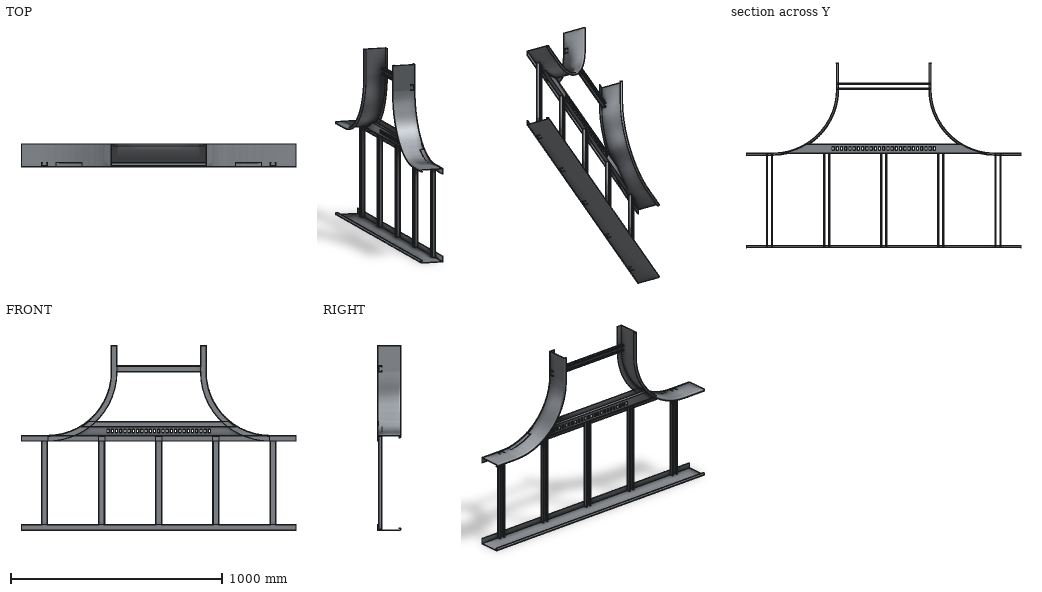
import cadquery as cq
LENGTH = 1300.0
DEPTH = 110.0
LADDER_WIDTH = 450.0
END_STRAIGHT = 125.0
SHEET = 2.0

FLANGE_WIDTH = 27.0
LIP_RADIUS = 5.8
LIP_TAIL = 4.0
BEND_RADIUS = (LENGTH - LADDER_WIDTH) / 2 - END_STRAIGHT
BEND_CENTER_X = LENGTH / 2 - END_STRAIGHT
BEND_CENTER_Z = LADDER_WIDTH + BEND_RADIUS
INNER_WIDTH = LADDER_WIDTH - 2 * SHEET

RUNG_WIDTH = 30.0
RUNG_DEPTH = 17.0
RUNG_FRONT = 5.0
RUNG_LIP = 6.0
RUNG_SHEET = 3.0
RUNG_END_GAP = 3.0
RUNG_COUNT = 5
RUNG_PITCH = 270.0
BRANCH_RUNG_Z = 765.0

PLATE_FRONT = SHEET
PLATE_STEP = 18.0
PLATE_BOTTOM = LADDER_WIDTH - FLANGE_WIDTH
WALL_BOTTOM = LADDER_WIDTH
WALL_TOP = 490.0
PLATE_TOP = 515.0
PLATE_END_GAP = 3.0
SLOT_COUNT = 25
SLOT_ROW = 480.0
SLOT_PITCH = SLOT_ROW / (SLOT_COUNT - 1)
SLOT_WIDTH = 9.0
SLOT_HEIGHT = 15.0


def rail_profile(plane, web, inward):
    """Closed rail section; local x is across the web from `web` toward `inward`, local y is depth."""

    def point(across, depth):
        return (web + inward * across, depth)

    roll_depth = DEPTH - LIP_RADIUS
    lip_top = 2 * LIP_RADIUS
    return (
        cq.Workplane(plane)
        .moveTo(*point(0, 0))
        .lineTo(*point(0, roll_depth))
        .threePointArc(point(LIP_RADIUS, DEPTH), point(lip_top, roll_depth))
        .lineTo(*point(lip_top, roll_depth - LIP_TAIL))
        .lineTo(*point(lip_top - SHEET, roll_depth - LIP_TAIL))
        .lineTo(*point(lip_top - SHEET, roll_depth))
        .threePointArc(point(LIP_RADIUS, DEPTH - SHEET), point(SHEET, roll_depth))
        .lineTo(*point(SHEET, SHEET))
        .lineTo(*point(FLANGE_WIDTH, SHEET))
        .lineTo(*point(FLANGE_WIDTH, 0))
        .close()
    )


def across_ladder(x):
    """Plane at `x`, normal to +X, with local x along -Z and local y along +Y."""
    return cq.Plane(origin=(x, 0, 0), xDir=(0, 0, -1), normal=(1, 0, 0))


def across_branch(z):
    """Plane at height `z`, normal to +Z, with local x along +X and local y along +Y."""
    return cq.Plane(origin=(0, 0, z), xDir=(1, 0, 0), normal=(0, 0, 1))


def make_straight_rail():
    return rail_profile(across_ladder(-LENGTH / 2), 0, -1).extrude(LENGTH)


def make_left_curved_rail():
    horizontal = rail_profile(across_ladder(-LENGTH / 2), -LADDER_WIDTH, 1).extrude(END_STRAIGHT)
    start = across_branch(BEND_CENTER_Z)
    web_x = -LADDER_WIDTH / 2
    vertical = rail_profile(start, web_x, 1).extrude(END_STRAIGHT)
    bend = rail_profile(start, web_x, 1).revolve(90, (-BEND_CENTER_X, 0), (-BEND_CENTER_X, 1))
    return horizontal.union(bend).union(vertical)


def make_rung(length):
    """Lipped channel, open at the back, standing on Z = 0 and centred on X = 0."""
    channel = cq.Workplane("XY").rect(RUNG_WIDTH, RUNG_DEPTH).extrude(length)
    hollow = (
        cq.Workplane("XY")
        .rect(RUNG_WIDTH - 2 * RUNG_SHEET, RUNG_DEPTH - 2 * RUNG_SHEET)
        .extrude(length)
    )
    mouth = (
        cq.Workplane("XY")
        .center(0, RUNG_DEPTH / 2)
        .rect(RUNG_WIDTH - 2 * RUNG_LIP, 2 * RUNG_SHEET)
        .extrude(length)
    )
    return channel.cut(hollow).cut(mouth).translate((0, RUNG_FRONT + RUNG_DEPTH / 2, 0))


def make_ladder_rung(x):
    return make_rung(INNER_WIDTH - 2 * RUNG_END_GAP).translate((x, 0, SHEET + RUNG_END_GAP))


def make_branch_rung():
    rung = make_rung(INNER_WIDTH).rotate((0, 0, 0), (0, 1, 0), 90)
    return rung.translate((-INNER_WIDTH / 2, 0, BRANCH_RUNG_Z))


def make_tie_plate():
    front = PLATE_FRONT
    front_inside = front + SHEET
    wall_face = front + PLATE_STEP
    wall_back = wall_face + SHEET
    section = [
        (front, PLATE_BOTTOM),
        (front, WALL_BOTTOM),
        (wall_face, WALL_BOTTOM),
        (wall_face, WALL_TOP),
        (front, WALL_TOP),
        (front, PLATE_TOP),
        (front_inside, PLATE_TOP),
        (front_inside, WALL_TOP + SHEET),
        (wall_back, WALL_TOP + SHEET),
        (wall_back, WALL_BOTTOM - SHEET),
        (front_inside, WALL_BOTTOM - SHEET),
        (front_inside, PLATE_BOTTOM),
    ]
    plate = cq.Workplane("YZ").polyline(section).close().extrude(BEND_CENTER_X, both=True)

    web_curves = (
        cq.Workplane("XZ")
        .pushPoints([(-BEND_CENTER_X, BEND_CENTER_Z), (BEND_CENTER_X, BEND_CENTER_Z)])
        .circle(BEND_RADIUS + SHEET + PLATE_END_GAP)
        .extrude(-DEPTH)
    )
    slots = (
        cq.Workplane("XZ")
        .center(0, (WALL_BOTTOM + WALL_TOP) / 2)
        .rarray(SLOT_PITCH, 13, SLOT_COUNT, 1)
        .rect(SLOT_WIDTH, SLOT_HEIGHT)
        .extrude(-DEPTH)
    )
    return plate.cut(web_curves).cut(slots)


straight_rail = make_straight_rail()
left_rail = make_left_curved_rail()
right_rail = left_rail.mirror("YZ")
ladder_rungs = [
    make_ladder_rung((i - (RUNG_COUNT - 1) / 2) * RUNG_PITCH) for i in range(RUNG_COUNT)
]
branch_rung = make_branch_rung()
tie_plate = make_tie_plate()

result = cq.Compound.makeCompound([
    straight_rail.val(),
    left_rail.val(),
    right_rail.val(),
    *[rung.val() for rung in ladder_rungs],
    branch_rung.val(),
    tie_plate.val(),
])